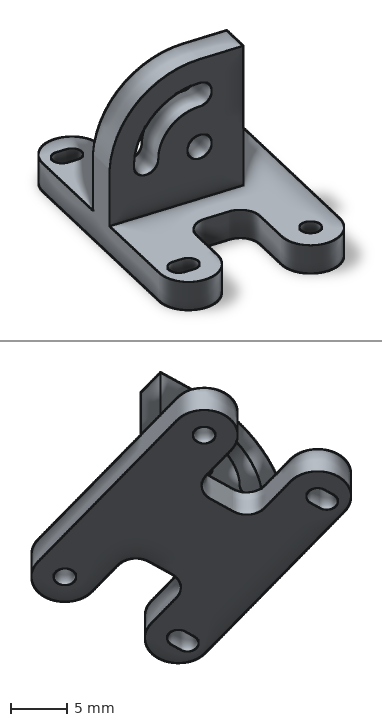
import cadquery as cq
import math

plate_thickness = 3.0
bar_radius = 3.0
hole_spacing_x = 21.0
hole_spacing_y = 12.5
front_bar_y = bar_radius
rear_bar_y = front_bar_y + hole_spacing_y
front_bar_x = -0.05
rear_bar_x = 0.05
neck_width = 9.3
neck_fillet = 2.0

hole_diameter = 2.0
slot_length = 3.0
slot_y = front_bar_y - (slot_length - hole_diameter) / 2

fin_thickness = 3.0
fin_depth = 13.75
fin_top = 17.75
fin_front_edge_height = 6.0
pivot_diameter = 2.5
pivot_y = 9.25
pivot_z = plate_thickness + 5.5
arc_slot_width = 2.5
arc_slot_radius = 5.5


def make_bar(center_x, center_y):
    """Round-ended bar running along X."""
    bar_length = hole_spacing_x + 2 * bar_radius
    return (
        cq.Workplane("XY")
        .center(center_x, center_y)
        .slot2D(bar_length, 2 * bar_radius)
        .extrude(plate_thickness)
    )


def make_neck():
    """Web between the bars, flared at each corner by a concave fillet."""
    flare_x = neck_width / 2 + neck_fillet
    gap = hole_spacing_y - 2 * bar_radius
    middle_y = (front_bar_y + rear_bar_y) / 2
    block = (
        cq.Workplane("XY")
        .center(0, middle_y)
        .rect(2 * flare_x, hole_spacing_y)
        .extrude(plate_thickness)
    )
    side_windows = (
        cq.Workplane("XY")
        .pushPoints([(side * flare_x, middle_y) for side in (-1, 1)])
        .slot2D(gap, 2 * neck_fillet, 90)
        .extrude(plate_thickness)
    )
    return block.cut(side_windows)


def make_mounting_holes():
    """Round holes in the rear bar and Y-direction slots in the front bar."""
    half_spacing = hole_spacing_x / 2
    holes = (
        cq.Workplane("XY")
        .pushPoints([(rear_bar_x + side * half_spacing, rear_bar_y) for side in (-1, 1)])
        .circle(hole_diameter / 2)
        .extrude(plate_thickness)
    )
    slots = (
        cq.Workplane("XY")
        .pushPoints([(front_bar_x + side * half_spacing, slot_y) for side in (-1, 1)])
        .slot2D(slot_length, hole_diameter, 90)
        .extrude(plate_thickness)
    )
    return holes.union(slots)


def fin_plane():
    """YZ sketch plane on the -X face of the fin."""
    return cq.Workplane("YZ", origin=(-fin_thickness / 2, 0, 0))


def make_fin():
    """Upright plate whose top front corner is one large arc, tangent to the top edge."""
    arc_start_z = plate_thickness + fin_front_edge_height
    rise = fin_top - arc_start_z
    corner_radius = (pivot_y**2 + rise**2) / (2 * rise)
    half_sweep = math.asin(pivot_y / corner_radius) / 2
    mid_y = pivot_y - corner_radius * math.sin(half_sweep)
    mid_z = fin_top - corner_radius * (1 - math.cos(half_sweep))
    return (
        fin_plane()
        .moveTo(0, 0)
        .lineTo(fin_depth, 0)
        .lineTo(fin_depth, fin_top)
        .lineTo(pivot_y, fin_top)
        .threePointArc((mid_y, mid_z), (0, arc_start_z))
        .close()
        .extrude(fin_thickness)
    )


def make_fin_openings():
    """Pivot hole and the quarter-turn slot concentric with it."""
    inner = arc_slot_radius - arc_slot_width / 2
    outer = arc_slot_radius + arc_slot_width / 2
    end_radius = arc_slot_width / 2
    diagonal = math.sqrt(0.5)
    pivot = fin_plane().center(pivot_y, pivot_z).circle(pivot_diameter / 2).extrude(fin_thickness)
    arc_slot = (
        fin_plane()
        .center(pivot_y, pivot_z)
        .moveTo(0, inner)
        .threePointArc((end_radius, arc_slot_radius), (0, outer))
        .threePointArc((-outer * diagonal, outer * diagonal), (-outer, 0))
        .threePointArc((-arc_slot_radius, -end_radius), (-inner, 0))
        .threePointArc((-inner * diagonal, inner * diagonal), (0, inner))
        .close()
        .extrude(fin_thickness)
    )
    return pivot.union(arc_slot)


front_bar = make_bar(front_bar_x, front_bar_y)
rear_bar = make_bar(rear_bar_x, rear_bar_y)
plate = front_bar.union(rear_bar).union(make_neck()).cut(make_mounting_holes())
fin = make_fin().cut(make_fin_openings())
result = plate.union(fin)